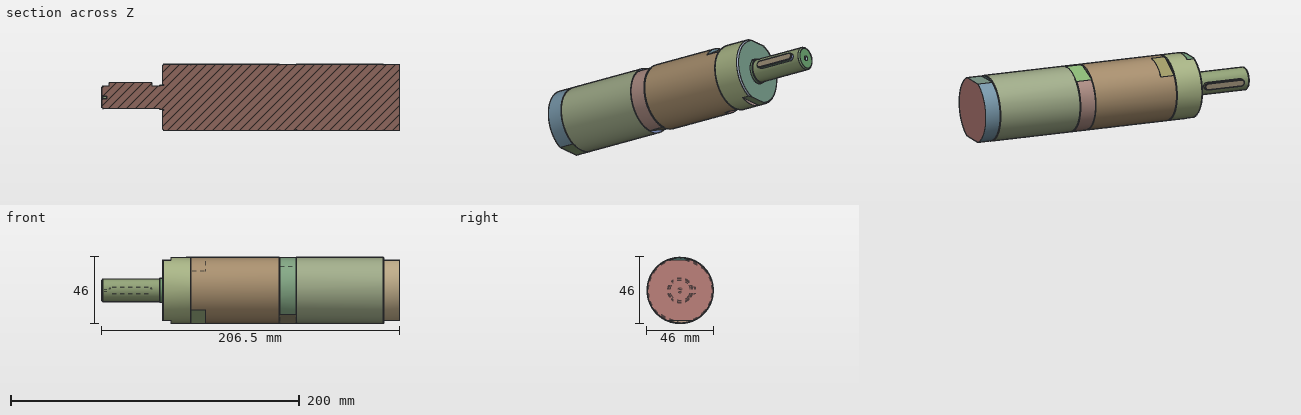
import cadquery as cq

body_front = 42.0
overall_length = 206.5
front_cap_length = 20.0
front_cap_end = body_front + front_cap_length
ring_start = 123.0
ring_length = 12.0
ring_end = ring_start + ring_length
rear_flat_length = 11.0
rear_cap_start = overall_length - rear_flat_length

body_radius = 46.0 / 2
front_chamfer = 1.0
seam_chamfer = 0.5

shaft_radius = 16.0 / 2
shaft_chamfer = 1.0
collar_radius = 16.95 / 2
collar_length = 1.8
collar_chamfer = 0.3
clearance_radius = 17.5 / 2
clearance_depth = 1.0
centre_hole_radius = 1.6 / 2
centre_hole_depth = 3.5
centre_sink_radius = 1.7
centre_sink_depth = centre_sink_radius - centre_hole_radius

key_start = 5.0
key_length = 30.0
key_width = 5.0
key_height = 5.0
key_top = 10.5
key_chamfer = 0.5

flat_distance = 21.0
front_flat_length = 6.0
pocket_flat_length = 10.0
end_flat_angle = 90.0
pocket_flat_angle = 60.0
ring_flat_angle = 70.0


def cylinder(start, end, radius):
    """Solid cylinder on the X axis between two stations."""
    return cq.Workplane("YZ", origin=(start, 0, 0)).circle(radius).extrude(end - start)


def make_housing():
    """Stacked housing sections, with chamfered edges where they meet."""
    front_cap = cylinder(body_front, front_cap_end, body_radius)
    front_cap = front_cap.faces("<X").chamfer(front_chamfer)
    front_cap = front_cap.faces(">X").chamfer(seam_chamfer)
    front_section = cylinder(front_cap_end, ring_start, body_radius)
    ring = cylinder(ring_start, ring_end, body_radius).faces("<X or >X").chamfer(seam_chamfer)
    rear_section = cylinder(ring_end, rear_cap_start, body_radius).faces(">X").chamfer(seam_chamfer)
    rear_cap = cylinder(rear_cap_start, overall_length, body_radius)
    return front_cap.union(front_section).union(ring).union(rear_section).union(rear_cap)


def cut_flat_pair(body, start, length, angle):
    """Cut two opposite flats whose normals lie at the given angle and 180 degrees from it."""
    depth = body_radius - flat_distance
    for flat_angle in (angle, angle + 180):
        cutter = cq.Workplane("XY").box(length, 2 * depth, 2 * body_radius)
        cutter = cutter.translate((start + length / 2, flat_distance + depth, 0))
        body = body.cut(cutter.rotate((0, 0, 0), (1, 0, 0), flat_angle))
    return body


def make_shaft():
    """Output shaft with a chamfered tip, a root collar and a centre hole."""
    shaft_end = body_front + clearance_depth
    shaft = cylinder(0, shaft_end, shaft_radius).faces("<X").chamfer(shaft_chamfer)
    collar = cylinder(body_front - collar_length, shaft_end, collar_radius)
    collar = collar.faces("<X").chamfer(collar_chamfer)
    shaft = shaft.union(collar)
    hole_profile = [
        (0, 0),
        (0, centre_sink_radius),
        (centre_sink_depth, centre_hole_radius),
        (centre_hole_depth, centre_hole_radius),
        (centre_hole_depth, 0),
    ]
    hole = cq.Workplane("XY").polyline(hole_profile).close().revolve(360, (0, 0, 0), (1, 0, 0))
    return shaft.cut(hole)


def make_key():
    """Round-ended key standing on the +Y side of the shaft."""
    key = cq.Workplane("XY").slot2D(key_length, key_width).extrude(key_height)
    key = key.faces(">Z").chamfer(key_chamfer)
    key = key.rotate((0, 0, 0), (1, 0, 0), -90)
    return key.translate((key_start + key_length / 2, key_top - key_height, 0))


def make_finished_housing():
    """Housing with its collar clearance bore and all wrench flats."""
    housing = make_housing()
    housing = housing.cut(cylinder(body_front, body_front + clearance_depth, clearance_radius))
    housing = cut_flat_pair(housing, body_front, front_flat_length, end_flat_angle)
    housing = cut_flat_pair(housing, front_cap_end, pocket_flat_length, pocket_flat_angle)
    housing = cut_flat_pair(housing, ring_start, ring_length, ring_flat_angle)
    return cut_flat_pair(housing, rear_cap_start, rear_flat_length, end_flat_angle)


result = make_finished_housing().union(make_shaft()).union(make_key())